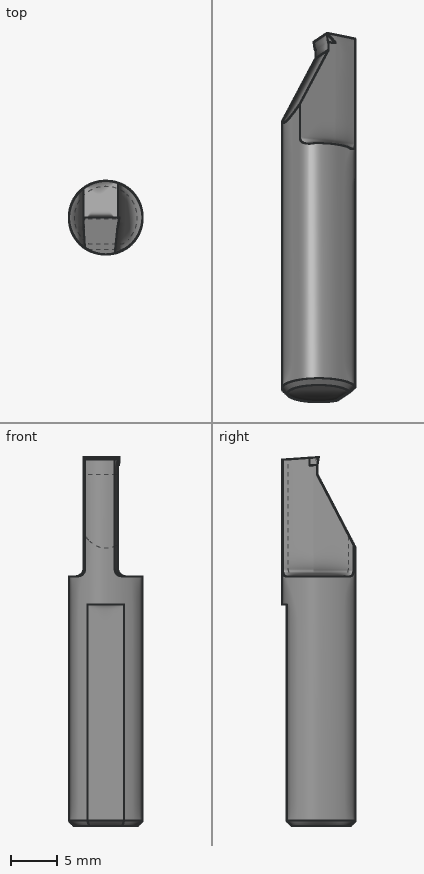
import cadquery as cq

length = 40.0
radius = 4.0
shoulder_z = 27.1
end_chamfer = 0.6

flat_y = -3.5
flat_top_z = 24.0

neck_left_x = -2.4
neck_right_x = 1.3
left_taper_y = -1.0
right_taper_y = -0.5
left_front_x = -2.2
right_front_x = 0.95
root_fillet = 0.8
edge_margin = 0.05

top_drop = 0.3
rake_y = -0.15
rake_drop = 1.9
ramp_end_drop = 9.9

tip_x = 1.5
tip_height = 0.9
relief_size = 1.0
relief_depth = 0.1


def make_shank():
    shank = cq.Workplane("XY").circle(radius).extrude(shoulder_z)
    return shank.faces("<Z").chamfer(end_chamfer)


def make_flat_cutter():
    """Block removed for the flat, leaving its lower end chamfered."""
    return (
        cq.Workplane("YZ")
        .polyline([
            (-radius, 0),
            (flat_y + end_chamfer, 0),
            (flat_y, end_chamfer),
            (flat_y, flat_top_z),
            (-radius, flat_top_z),
        ])
        .close()
        .extrude(radius, both=True)
    )


def make_neck():
    """Wedge-sided bar with flared root fillets on both sides."""
    bar = (
        cq.Workplane("XY", origin=(0, 0, shoulder_z))
        .polyline([
            (neck_left_x, radius),
            (neck_left_x, left_taper_y),
            (left_front_x, -radius),
            (right_front_x, -radius),
            (neck_right_x, right_taper_y),
            (neck_right_x, radius),
        ])
        .close()
        .extrude(length - shoulder_z)
    )
    base = (
        cq.Workplane("XY", origin=(0, 0, shoulder_z - root_fillet))
        .rect(2 * radius, 2 * radius)
        .extrude(root_fillet)
    )
    root_edges = cq.selectors.BoxSelector(
        (neck_left_x - root_fillet, -radius + edge_margin, shoulder_z - edge_margin),
        (neck_right_x + root_fillet, radius - edge_margin, shoulder_z + edge_margin),
    )
    flared = base.union(bar).edges(root_edges).fillet(root_fillet)
    envelope = cq.Workplane("XY", origin=(0, 0, shoulder_z)).circle(radius).extrude(length - shoulder_z)
    return flared.intersect(envelope)


def make_tip():
    """Small cutting point standing proud of the +X side."""
    return (
        cq.Workplane("XY", origin=(0, 0, length - tip_height))
        .polyline([(0, 0), (tip_x, 0), (neck_right_x, left_taper_y), (0, left_taper_y)])
        .close()
        .extrude(tip_height)
    )


def make_side_profile():
    return (
        cq.Workplane("YZ")
        .polyline([
            (-radius, shoulder_z),
            (radius, shoulder_z),
            (radius, length - ramp_end_drop),
            (rake_y, length - rake_drop),
            (rake_y, length - relief_size),
            (0, length),
            (-radius, length - top_drop),
        ])
        .close()
        .extrude(radius, both=True)
    )


def make_chip_relief():
    """Shallow triangular step on the -X side behind the cutting edge."""
    return (
        cq.Workplane("YZ", origin=(neck_left_x - relief_depth, 0, 0))
        .polyline([
            (0, length),
            (-relief_size, length - relief_size),
            (0, length - relief_size),
        ])
        .close()
        .extrude(2 * relief_depth)
    )


shank = make_shank().cut(make_flat_cutter())
neck = make_neck().union(make_tip()).intersect(make_side_profile()).cut(make_chip_relief())
result = shank.union(neck)